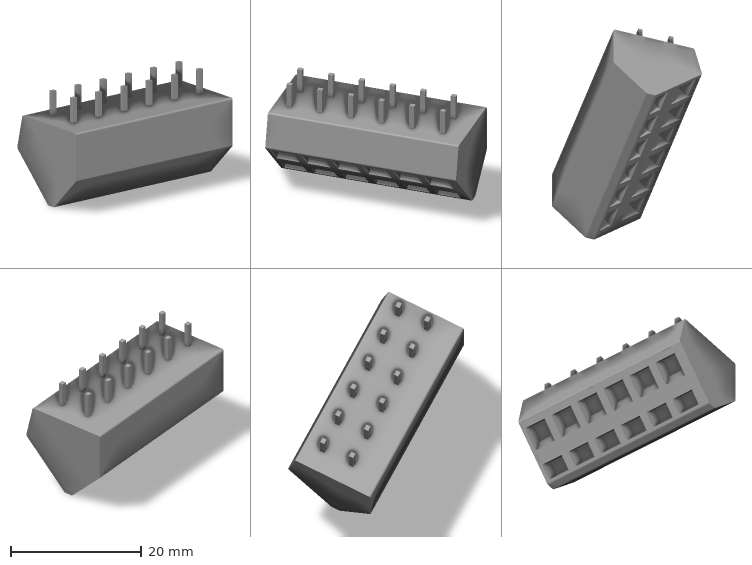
import cadquery as cq
import math

length = 31
width = 14.25
body_height = 13.0
edge_radius = 0.3

top_left_x = 1.25
nose_x = -0.03
nose_z = 7.5
keel_left_x = nose_x + nose_z
back_slope_height = 5.35
keel_right_x = width - back_slope_height

contact_count = 6
contact_pitch = 5.0
end_margin = 2.48
first_contact_y = length / 2 - end_margin

pin_size_x = 0.7
pin_size_y = 0.8
pin_height = 4.0
first_pin_x = 4.25
pin_row_pitch = 5.0

pocket_width = 3.72
pocket_depth = 10

wire_pocket_bottom = 1.8
wire_pocket_length = 8.1

lever_pocket_bottom = 17.7
lever_opening_length = 12.2
lever_tip_length = 3.5
lever_tip_recess = 0.2
lever_sill_depth = 2.2
lever_ramp_rise = 3.5
lever_ramp_run = 5.4


def face_point(up, deep):
    """XZ point at a distance up the front face and a depth square to it."""
    diagonal = math.sqrt(0.04805)
    return keel_left_x + (deep - up) * diagonal, (deep + up) * diagonal


def extrude_across(points, centre_y, extent):
    """Prism with an XZ outline, spread evenly about a Y position."""
    section = cq.Workplane("XZ", origin=(0, centre_y, 0)).polyline(points).close()
    return section.extrude(extent / 2, both=True)


def make_housing():
    outline = [
        (top_left_x, body_height),
        (nose_x, nose_z),
        (keel_left_x, 0),
        (keel_right_x, 0),
        (width, back_slope_height),
        (width, body_height),
    ]
    return extrude_across(outline, 0, length).edges("|Y").fillet(edge_radius)


def make_wire_pocket(centre_y):
    wire_pocket_top = wire_pocket_bottom + wire_pocket_length
    profile = [
        (wire_pocket_bottom, 0),
        (wire_pocket_bottom, pocket_depth),
        (wire_pocket_top, pocket_depth),
        (wire_pocket_top, 0),
    ]
    return extrude_across([face_point(*p) for p in profile], centre_y, pocket_width)


def make_lever_pocket(centre_y):
    ramp_top = lever_pocket_bottom + lever_ramp_rise
    tip_bottom = lever_pocket_bottom + lever_opening_length
    tip_top = tip_bottom + lever_tip_length
    profile = [
        (lever_pocket_bottom, 0),
        (lever_pocket_bottom, lever_sill_depth),
        (ramp_top, lever_sill_depth + lever_ramp_run),
        (ramp_top, pocket_depth),
        (tip_bottom, pocket_depth),
        (tip_bottom, lever_tip_recess),
        (tip_top, lever_tip_recess),
        (tip_top, 0),
    ]
    return extrude_across([face_point(*p) for p in profile], centre_y, pocket_width)


def make_pin(centre_x, centre_y):
    pin = cq.Workplane("XY", origin=(centre_x, centre_y, body_height))
    return pin.rect(pin_size_x, pin_size_y).extrude(pin_height)


result = make_housing()
for contact in range(contact_count):
    contact_y = first_contact_y - contact * contact_pitch
    result = result.cut(make_wire_pocket(contact_y))
    result = result.cut(make_lever_pocket(contact_y))
    for row in range(2):
        result = result.union(make_pin(first_pin_x + row * pin_row_pitch, contact_y))